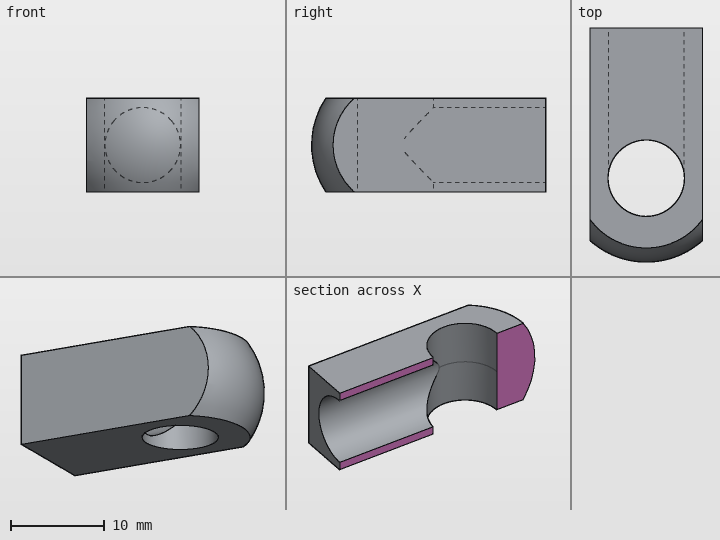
import cadquery as cq

length = 24.95
width = 12.0
height = 10.0
nose_radius = 8.95
cross_hole_diameter = 8.1
end_bore_diameter = 8.0

back_y = length - nose_radius


def rounded_block():
    """Rectangular bar whose -Y end is trimmed to a sphere."""
    blank = cq.Workplane("XY").box(width, length, height)
    blank = blank.translate((0, back_y - length / 2, 0))
    back_half = cq.Workplane("XY").box(width, back_y, height)
    back_half = back_half.translate((0, back_y / 2, 0))
    nose = blank.intersect(cq.Workplane("XY").sphere(nose_radius))
    return back_half.union(nose)


def cross_hole():
    """Vertical through hole at the centre of the nose sphere."""
    return cq.Workplane("XY").circle(cross_hole_diameter / 2).extrude(height, both=True)


def end_bore():
    """Bore along Y from the back face into the cross hole."""
    return cq.Workplane("XZ").circle(end_bore_diameter / 2).extrude(-back_y)


result = rounded_block().cut(cross_hole()).cut(end_bore())